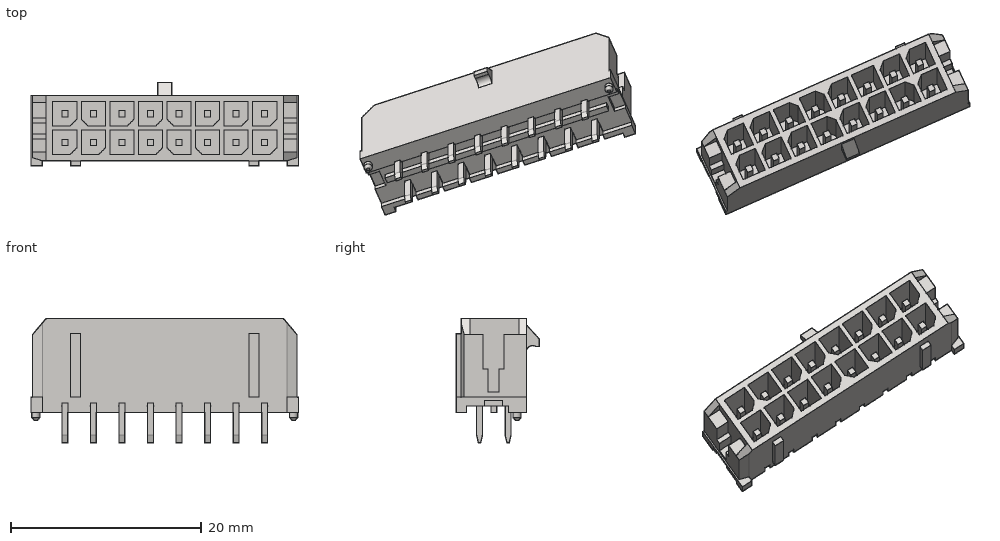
import cadquery as cq

PITCH = 3.0
COLUMNS = 8
ROW_Y = PITCH / 2

HOUSING_TOP = 9.91
HOUSING_HALF_LENGTH = 13.90
HOUSING_HALF_WIDTH = 3.44
END_WALL_X = 12.45
SHOULDER_Z = 8.20
BEVEL_START_X = 12.86
BEVEL_DEPTH = 0.33

GUIDE_STEPS = [
    (-2.51, 2.66, SHOULDER_Z),
    (-1.15, 1.06, 4.56),
    (-0.63, 0.55, 2.16),
]

FLANGE_HALF_LENGTH = 28.15 / 2
FLANGE_FRONT_Y = -3.97
FLANGE_TOP = 1.62

RIB_X = 9.37
RIB_WIDTH = 1.06
RIB_TOP = 8.31

CAVITY_SIZE = 2.54
CAVITY_CORNER = 0.70
CAVITY_FLOOR = 2.09
BACK_ROW_KEYS = "RLRRLRRR"
FRONT_ROW_KEYS = "RRNRLLRR"

PIN_SIZE = 0.64
PIN_TOP = 7.70
PIN_BOTTOM = -3.18
PIN_TAPER_START = -2.37
PIN_TIP_WIDTH = 0.25

CHANNEL_HEIGHT = 0.68
BACK_RAIL_Y = 1.56
CENTRE_RAIL_HALF_WIDTH = 0.32
CENTRE_RAIL_HALF_LENGTH = END_WALL_X
FRONT_RAIL_Y = -2.85
SLOT_HEIGHT = 1.02
END_NOTCH_Y = (-0.98, 0.89)
END_NOTCH_TOP = 1.28

PEG_X = 13.54
PEG_Y = 2.44
PEG_RADIUS = 0.44
PEG_TIP_RADIUS = 0.15
PEG_SHOULDER_Z = -0.50
PEG_TIP_Z = -0.85

LATCH_WIDTH = 1.48
LATCH_TIP_Y = 4.80
LATCH_RAMP_TOP = 9.22
LATCH_RAMP_BOTTOM = 7.72
LATCH_HOOK_Z = 6.94
LATCH_HOOK_FLAT_Y = 4.41
LATCH_HOLLOW = (3.98, 7.02)
LATCH_ROOT_Z = 6.56

column_x = [(i - (COLUMNS - 1) / 2) * PITCH for i in range(COLUMNS)]


def box(x_range, y_range, z_range):
    """Axis-aligned block between the given (low, high) limits."""
    size = [high - low for low, high in (x_range, y_range, z_range)]
    corner = (x_range[0], y_range[0], z_range[0])
    return cq.Workplane("XY").box(*size, centered=False).translate(corner)


def on_both_ends(shape):
    """The shape at the +X end together with its mirror image at the -X end."""
    return shape.union(shape.mirror("YZ"))


def make_shell():
    """Solid housing with sloped ends and bevelled front corners."""
    end_outline = [
        (-HOUSING_HALF_LENGTH, 0),
        (HOUSING_HALF_LENGTH, 0),
        (HOUSING_HALF_LENGTH, SHOULDER_Z),
        (END_WALL_X, HOUSING_TOP),
        (-END_WALL_X, HOUSING_TOP),
        (-HOUSING_HALF_LENGTH, SHOULDER_Z),
    ]
    side = cq.Workplane("XZ").polyline(end_outline).close().extrude(HOUSING_HALF_WIDTH, both=True)
    plan_outline = [
        (-HOUSING_HALF_LENGTH, HOUSING_HALF_WIDTH),
        (HOUSING_HALF_LENGTH, HOUSING_HALF_WIDTH),
        (HOUSING_HALF_LENGTH, BEVEL_DEPTH - HOUSING_HALF_WIDTH),
        (BEVEL_START_X, -HOUSING_HALF_WIDTH),
        (-BEVEL_START_X, -HOUSING_HALF_WIDTH),
        (-HOUSING_HALF_LENGTH, BEVEL_DEPTH - HOUSING_HALF_WIDTH),
    ]
    plan = cq.Workplane("XY").polyline(plan_outline).close().extrude(HOUSING_TOP)
    return side.intersect(plan)


def make_guide_openings():
    """Stepped openings narrowing downwards in both ends."""
    cutter = cq.Workplane("XY")
    for y_low, y_high, z_low in GUIDE_STEPS:
        step = box((END_WALL_X, HOUSING_HALF_LENGTH), (y_low, y_high), (z_low, HOUSING_TOP))
        cutter = cutter.union(step)
    return on_both_ends(cutter)


def make_flanges():
    """End plates with feet that stand out past the front face."""
    return on_both_ends(box(
        (BEVEL_START_X, FLANGE_HALF_LENGTH),
        (FLANGE_FRONT_Y, HOUSING_HALF_WIDTH),
        (0, FLANGE_TOP),
    ))


def make_ribs():
    """Vertical ribs on the front face, flush with the flange feet."""
    return on_both_ends(box(
        (RIB_X - RIB_WIDTH / 2, RIB_X + RIB_WIDTH / 2),
        (FLANGE_FRONT_Y, -HOUSING_HALF_WIDTH),
        (FLANGE_TOP, RIB_TOP),
    ))


def make_latch():
    """Ramped hook on the middle of the back face."""
    return (
        cq.Workplane("YZ")
        .moveTo(HOUSING_HALF_WIDTH, LATCH_RAMP_TOP)
        .lineTo(LATCH_TIP_Y, LATCH_RAMP_BOTTOM)
        .lineTo(LATCH_TIP_Y, LATCH_HOOK_Z)
        .lineTo(LATCH_HOOK_FLAT_Y, LATCH_HOOK_Z)
        .threePointArc(LATCH_HOLLOW, (HOUSING_HALF_WIDTH, LATCH_ROOT_Z))
        .close()
        .extrude(LATCH_WIDTH / 2, both=True)
    )


def make_pegs():
    """Round locating pegs with conical tips under both ends."""
    peg = (
        cq.Workplane("XZ")
        .polyline([
            (0, 0),
            (PEG_RADIUS, 0),
            (PEG_RADIUS, PEG_SHOULDER_Z),
            (PEG_TIP_RADIUS, PEG_TIP_Z),
            (0, PEG_TIP_Z),
        ])
        .close()
        .revolve(360, (0, 0), (0, 1))
        .translate((PEG_X, PEG_Y, 0))
    )
    return on_both_ends(peg)


def make_cavity(x, y, key):
    """Square contact cavity with one front corner cut off according to its key."""
    half = CAVITY_SIZE / 2
    cut = half - CAVITY_CORNER
    outline = [(-half, half), (half, half)]
    outline += [(half, -cut), (cut, -half)] if key == "R" else [(half, -half)]
    outline += [(-cut, -half), (-half, -cut)] if key == "L" else [(-half, -half)]
    cavity = cq.Workplane("XY").polyline(outline).close().extrude(HOUSING_TOP - CAVITY_FLOOR)
    return cavity.translate((x, y, CAVITY_FLOOR))


def make_pin(x, y):
    """Square contact whose lower tip tapers in Y."""
    half = PIN_SIZE / 2
    tip = PIN_TIP_WIDTH / 2
    outline = [
        (-half, PIN_TOP),
        (half, PIN_TOP),
        (half, PIN_TAPER_START),
        (tip, PIN_BOTTOM),
        (-tip, PIN_BOTTOM),
        (-half, PIN_TAPER_START),
    ]
    return cq.Workplane("YZ").polyline(outline).close().extrude(half, both=True).translate((x, y, 0))


def make_underside_cuts():
    """Lengthwise channel around the centre rail, end notches and a front slot at every contact column."""
    full_length = (-FLANGE_HALF_LENGTH, FLANGE_HALF_LENGTH)
    channel = box(full_length, (FRONT_RAIL_Y, BACK_RAIL_Y), (0, CHANNEL_HEIGHT))
    centre_rail = box(
        (-CENTRE_RAIL_HALF_LENGTH, CENTRE_RAIL_HALF_LENGTH),
        (-CENTRE_RAIL_HALF_WIDTH, CENTRE_RAIL_HALF_WIDTH),
        (0, CHANNEL_HEIGHT),
    )
    cuts = channel.cut(centre_rail)
    cuts = cuts.union(on_both_ends(box(
        (BEVEL_START_X, FLANGE_HALF_LENGTH),
        END_NOTCH_Y,
        (0, END_NOTCH_TOP),
    )))
    for x in column_x:
        slot = box(
            (x - PIN_SIZE / 2, x + PIN_SIZE / 2),
            (-HOUSING_HALF_WIDTH, -ROW_Y),
            (0, SLOT_HEIGHT),
        )
        cuts = cuts.union(slot)
    return cuts


housing = make_shell().cut(make_guide_openings())
housing = housing.union(make_flanges()).union(make_ribs()).union(make_latch())
housing = housing.cut(make_underside_cuts()).union(make_pegs())

result = housing
for y, keys in ((ROW_Y, BACK_ROW_KEYS), (-ROW_Y, FRONT_ROW_KEYS)):
    for x, key in zip(column_x, keys):
        result = result.cut(make_cavity(x, y, key)).union(make_pin(x, y))